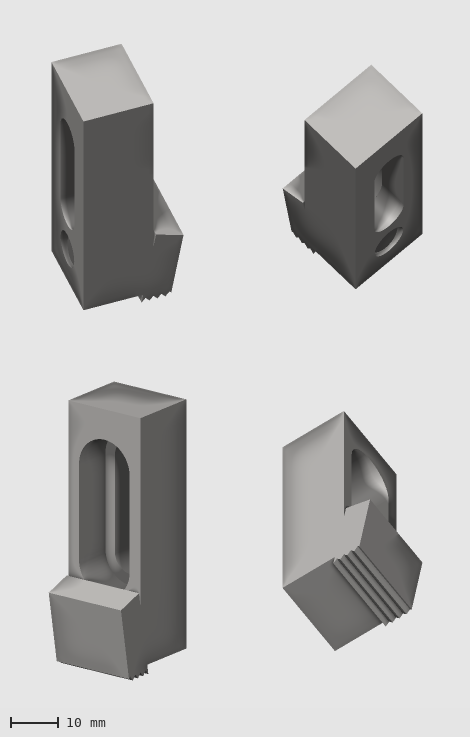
import cadquery as cq
import math

WIDTH = 19.05
TOTAL_HEIGHT = 57.05
TOTAL_DEPTH = 22.3

JAW_DROP = 2.15
JAW_TIP_Y = 12.95
JAW_FRONT_HEIGHT = 18.65
JAW_LEAN = math.tan(math.radians(9.8))
JAW_TOP_SLOPE = math.tan(math.radians(19.4))
TOOTH_COUNT = 3
TOOTH_PITCH = 1.75
TOOTH_DEPTH = 1.1
JAW_BACK_FOOT_Z = -1.5

HOUSING_DEPTH = 15.65
HOUSING_HEIGHT = TOTAL_HEIGHT - JAW_DROP

SLOT_WIDTH = 8.4
SLOT_BOTTOM = 16.15
SLOT_TOP = 45.7
HEAD_SLOT_WIDTH = 13.35
HEAD_SEAT_DEPTH = 6.6

PIN_DIAMETER = 8.1
PIN_CHAMFER = 0.15
HOLE_CENTRE_Z = 9.15
PIN_RECESS = 1.65

JAW_FRONT_TOP_Z = JAW_FRONT_HEIGHT - JAW_DROP


def jaw_front_y(z):
    """Y of the leaning plane where the jaw rests on the housing."""
    return JAW_TIP_Y + JAW_LEAN * (z + JAW_DROP)


def extrude_across_width(points):
    """Extrude a (Y, Z) outline over the full width."""
    return cq.Workplane("YZ").polyline(points).close().extrude(WIDTH / 2, both=True)


def slot_cutter(width, start_y, end_y):
    """Vertical round-ended slot; slots of every width share the same end centres."""
    centre_distance = SLOT_TOP - SLOT_BOTTOM - SLOT_WIDTH
    return (
        cq.Workplane("XZ", origin=(0, start_y, (SLOT_TOP + SLOT_BOTTOM) / 2))
        .slot2D(centre_distance + width, width, 90)
        .extrude(start_y - end_y)
    )


def inclined_cylinder(diameter, start, length):
    """Cylinder on the pin axis; start is measured along the axis from the front face."""
    axis = cq.Vector(0, 1, -JAW_LEAN).normalized()
    base = cq.Vector(0, 0, HOLE_CENTRE_Z) + axis * start
    return cq.Workplane(obj=cq.Solid.makeCylinder(diameter / 2, length, base, axis))


def make_housing():
    block = extrude_across_width([
        (0, 0),
        (jaw_front_y(0), 0),
        (HOUSING_DEPTH, (HOUSING_DEPTH - JAW_TIP_Y) / JAW_LEAN - JAW_DROP),
        (HOUSING_DEPTH, HOUSING_HEIGHT),
        (0, HOUSING_HEIGHT),
    ])
    bolt_slot = slot_cutter(SLOT_WIDTH, 0, HOUSING_DEPTH)
    head_slot = slot_cutter(HEAD_SLOT_WIDTH, HEAD_SEAT_DEPTH, HOUSING_DEPTH)
    pin_hole = inclined_cylinder(PIN_DIAMETER, -HOUSING_DEPTH, 2 * TOTAL_DEPTH)
    return block.cut(bolt_slot).cut(head_slot).cut(pin_hole)


def make_jaw():
    valley_z = TOOTH_DEPTH - JAW_DROP
    outline = [(jaw_front_y(JAW_FRONT_TOP_Z), JAW_FRONT_TOP_Z), (JAW_TIP_Y, -JAW_DROP)]
    for tooth in range(TOOTH_COUNT):
        tip_y = JAW_TIP_Y + tooth * TOOTH_PITCH
        outline.append((tip_y + TOOTH_PITCH / 2, valley_z))
        outline.append((tip_y + TOOTH_PITCH, -JAW_DROP))
    last_valley_y = JAW_TIP_Y + (TOOTH_COUNT + 1 / 2) * TOOTH_PITCH
    outline.append((last_valley_y, valley_z))

    back_top_z = JAW_FRONT_TOP_Z - JAW_TOP_SLOPE * (TOTAL_DEPTH - jaw_front_y(JAW_FRONT_TOP_Z))
    back_foot_y = TOTAL_DEPTH - JAW_LEAN * (back_top_z - JAW_BACK_FOOT_Z)
    outline.append((back_foot_y, JAW_BACK_FOOT_Z))
    outline.append((TOTAL_DEPTH, back_top_z))
    return extrude_across_width(outline)


def make_pin():
    distance_to_jaw = jaw_front_y(HOLE_CENTRE_Z) / math.hypot(1, JAW_LEAN)
    pin = inclined_cylinder(PIN_DIAMETER, PIN_RECESS, distance_to_jaw - PIN_RECESS)
    return pin.faces("<Y").chamfer(PIN_CHAMFER)


housing = make_housing()
jaw = make_jaw()
pin = make_pin()

result = cq.Compound.makeCompound([housing.solids().val(), jaw.solids().val(), pin.solids().val()])